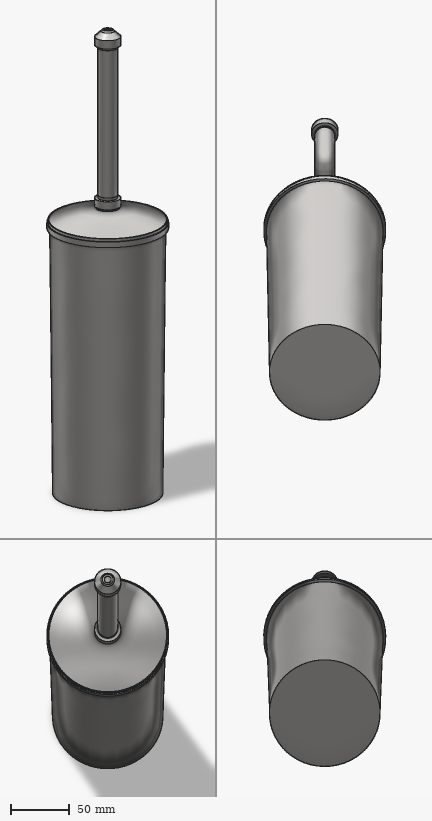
import cadquery as cq
import math

CUP_BASE_RADIUS = 47.0
CUP_MOUTH_RADIUS = 49.5
FLANGE_RADIUS = 104.0 / 2
FLANGE_BOTTOM = 238.8
FLANGE_HEIGHT = 5.0

LID_RADIUS = 51.0
LID_EDGE_HEIGHT = 2.5
DOME_RADIUS = 50.0
DOME_RISE = 11.0

TUBE_RADIUS = 17.0 / 2
TUBE_LENGTH = 132.7
NECK_RADIUS = 8.5
NECK_HEIGHT = 2.5
BAND_RADIUS = 11.3
BAND_HEIGHT = 7.5
FOOT_RADIUS = 10.0
FOOT_TOP = 258.5
KNOB_CONE_HEIGHT = 5.0
BUTTON_RADIUS = 6.0
BUTTON_TOP_RADIUS = 4.5
SOCKET_RADIUS = 3.0
SOCKET_DEPTH = 1.3
BUTTON_SEAT_DEPTH = 2.0
TOTAL_HEIGHT = 417.5

flange_top = FLANGE_BOTTOM + FLANGE_HEIGHT
lid_edge_top = flange_top + LID_EDGE_HEIGHT
band_top = FOOT_TOP + BAND_HEIGHT
tube_bottom = band_top + NECK_HEIGHT
tube_top = tube_bottom + TUBE_LENGTH
knob_band_bottom = tube_top + NECK_HEIGHT
knob_band_top = knob_band_bottom + BAND_HEIGHT
knob_top = knob_band_top + KNOB_CONE_HEIGHT
button_seat = knob_top - BUTTON_SEAT_DEPTH
socket_floor = TOTAL_HEIGHT - SOCKET_DEPTH

sphere_radius = (DOME_RADIUS**2 + DOME_RISE**2) / (2 * DOME_RISE)
sphere_center = lid_edge_top + DOME_RISE - sphere_radius


def dome_height(radius):
    """Level of the dome surface at a distance from the axis."""
    return sphere_center + math.sqrt(sphere_radius**2 - radius**2)


collar_seat = dome_height(FOOT_RADIUS)


def revolve_about_z(profile):
    """Turn a closed half profile in the XZ plane into a solid about the Z axis."""
    return profile.close().revolve(360, (0, 0, 0), (0, 1, 0))


def make_cup():
    return revolve_about_z(
        cq.Workplane("XZ")
        .lineTo(CUP_BASE_RADIUS, 0)
        .lineTo(CUP_MOUTH_RADIUS, FLANGE_BOTTOM)
        .lineTo(FLANGE_RADIUS, FLANGE_BOTTOM)
        .lineTo(FLANGE_RADIUS, flange_top)
        .lineTo(0, flange_top)
    )


def make_lid():
    arc_middle = (DOME_RADIUS + FOOT_RADIUS) / 2
    return revolve_about_z(
        cq.Workplane("XZ")
        .moveTo(0, flange_top)
        .lineTo(LID_RADIUS, flange_top)
        .lineTo(LID_RADIUS, lid_edge_top)
        .lineTo(DOME_RADIUS, lid_edge_top)
        .threePointArc((arc_middle, dome_height(arc_middle)), (FOOT_RADIUS, collar_seat))
        .lineTo(0, collar_seat)
    )


def make_collar():
    return revolve_about_z(
        cq.Workplane("XZ")
        .moveTo(0, collar_seat)
        .lineTo(FOOT_RADIUS, collar_seat)
        .lineTo(FOOT_RADIUS, FOOT_TOP)
        .lineTo(BAND_RADIUS, FOOT_TOP)
        .lineTo(BAND_RADIUS, band_top)
        .lineTo(NECK_RADIUS, band_top)
        .lineTo(NECK_RADIUS, tube_bottom)
        .lineTo(0, tube_bottom)
    )


def make_tube():
    return cq.Workplane("XY", origin=(0, 0, tube_bottom)).circle(TUBE_RADIUS).extrude(TUBE_LENGTH)


def make_knob():
    return revolve_about_z(
        cq.Workplane("XZ")
        .moveTo(0, tube_top)
        .lineTo(NECK_RADIUS, tube_top)
        .lineTo(NECK_RADIUS, knob_band_bottom)
        .lineTo(BAND_RADIUS, knob_band_bottom)
        .lineTo(BAND_RADIUS, knob_band_top)
        .lineTo(BUTTON_RADIUS, knob_top)
        .lineTo(BUTTON_RADIUS, button_seat)
        .lineTo(0, button_seat)
    )


def make_button():
    return revolve_about_z(
        cq.Workplane("XZ")
        .moveTo(0, button_seat)
        .lineTo(BUTTON_RADIUS, button_seat)
        .lineTo(BUTTON_RADIUS, knob_top)
        .lineTo(BUTTON_TOP_RADIUS, TOTAL_HEIGHT)
        .lineTo(SOCKET_RADIUS, TOTAL_HEIGHT)
        .lineTo(SOCKET_RADIUS, socket_floor)
        .lineTo(0, socket_floor)
    )


cup = make_cup()
lid = make_lid()
collar = make_collar()
tube = make_tube()
knob = make_knob()
button = make_button()

result = cq.Compound.makeCompound([body.val() for body in (cup, lid, collar, tube, knob, button)])